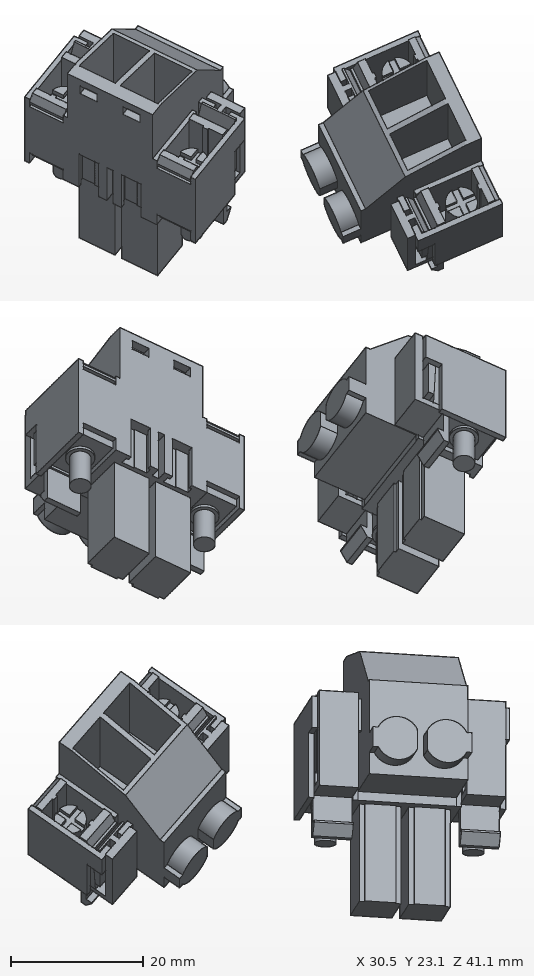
import cadquery as cq


BODY_HALF_WIDTH = 7.6
POLE_X = BODY_HALF_WIDTH / 2
FLANGE_HALF_WIDTH = 15.245
BODY_TOP = 41.15
BODY_BOTTOM = 15.47
BODY_BACK = 20.12
BODY_BACK_BOTTOM = 16.87
ROOF_FLAT_BACK = 2.6
ROOF_KINK = (12.7, 38.72)
ROOF_LEDGE_FRONT = 19.35
ROOF_LEDGE = 31.85
FLANGE_TOP = 30.7
FLANGE_BACK = 14.1

OUTER_WALL = 0.85
INNER_WALL = 0.75
FRONT_WALL = 0.85
BACK_WALL = 1.03
OUTER_WALL_LOWER_BACK = 11.28
INNER_WALL_BACK = 11.3
BACK_WALL_BOTTOM = 25.68
FRONT_WALL_BOTTOM = 17.85
FRONT_WALL_TOP = 28.93
FLANGE_CAVITY_INNER = BODY_HALF_WIDTH + INNER_WALL
FLANGE_CAVITY_OUTER = FLANGE_HALF_WIDTH - OUTER_WALL
FLANGE_X = 3 * POLE_X
INSERT_SPAN = (-FLANGE_CAVITY_OUTER, -FLANGE_CAVITY_INNER)
BACK_WALL_FRONT = FLANGE_BACK - BACK_WALL

WELL_FRONT = 2.25
WELL_BACK = 11.97
WELL_FLOOR = 24.7
WELL_INNER = 0.45
LEFT_WELL_OUTER = 6.87
RIGHT_WELL_OUTER = 7.15
TEST_POCKET_WIDTH = 3.05
TEST_POCKET_BOTTOM = 37.85
TEST_POCKET_TOP = 39.63
TEST_POCKET_DEPTH = 1.3

BOSS_RADIUS = 3.4
BOSS_Z = 21.85
BOSS_END = 23.1
BOSS_TAB_HEIGHT = 3.13
BOSS_INNER = 0.8

PLUG_WIDTH = 6.4
PLUG_FRONT = 2.4
PLUG_BACK = 9.45
PLUG_RIB = 0.35
PLUG_RIB_WIDTH = 4.77
SLOT_TOP = 23.3
SLOT_WIDTH = 3.55
SLOT_LIP = 0.7
UNDERCUT_WIDTH = 4.4
UNDERCUT_BACK = 1.6
UNDERCUT_DEEP_BACK = 1.75
CENTRE_SLOT_WIDTH = 1.15

INSERT_TOP = 31.25
LEVER_BACK = 15.47
LEVER_BOTTOM = 16.1
LEVER_TOP_FRONT = 12.75
LEVER_FLOOR = 17.25
LEVER_FOOT = 19.15
NECK_WIDTH = 0.85
NECK_SLOT_WIDTH = 2.67
CAGE_BOTTOM = 16.45
FRONT_PLATE_BACK = 2.0
LIP_BOTTOM = 29.55
LIP_CHAMFER_BOTTOM = 30.05
LEG_FRONT = 9.18
LEG_STEP = 15.95
LEG_TOP_BACK = 10.5
LEG_CHAMFER_BACK = 11.28
CAGE_FLOOR = 17.25
LEG_SHOULDER = 29.55
LEG_BACK_TOP = (11.7, LEG_SHOULDER)
LEG_BACK_BOTTOM = (12.22, LEVER_FLOOR)
WEDGE_NOSE = 28.8
LATCH_FRONT = 9.45
LATCH_BACK = 10.45
LATCH_BOTTOM = 9.65
HOOK_TOP = 11.8
HOOK_TIP = 11.5
HOOK_TIP_BOTTOM = 11.52
HOOK_BOTTOM_BACK = 10.35
GUIDE_RIB_WIDTH = 0.85
GUIDE_RIB_HEIGHT = 0.3

SCREW_Y = 5.1
SCREW_TOP = 27.5
SCREW_HEAD_RADIUS = 2.43
COLLAR_RADIUS = 2.22
COLLAR_BOTTOM = 15.95
SHANK_RADIUS = 1.65
SHANK_BOTTOM = 10.3
DRIVE_SLOT_ALONG_X = 1.03
DRIVE_SLOT_ALONG_Y = 0.85
DRIVE_DEPTH = 0.82


def block(x, y, z):
    """Box between the (low, high) limits on each axis."""
    size = [high - low for low, high in (x, y, z)]
    return cq.Workplane("XY").box(*size, centered=False).translate((x[0], y[0], z[0]))


def centred(middle, width):
    return (middle - width / 2, middle + width / 2)


def side_extrusion(points, x):
    """Solid with a (Y, Z) outline that spans the limits x."""
    return cq.Workplane("YZ").polyline(points).close().extrude(x[1] - x[0]).translate((x[0], 0, 0))


def mirrored(body, side):
    """The body itself for the left side (-1), its mirror image for the right side (+1)."""
    return body if side < 0 else body.mirror("YZ")


def cylinder(radius, bottom, top):
    """Upright cylinder on the axis of the left flange screw."""
    base = cq.Workplane("XY", origin=(-FLANGE_X, SCREW_Y, bottom))
    return base.circle(radius).extrude(top - bottom)


def make_body():
    outline = [
        (0, BODY_BOTTOM),
        (0, BODY_TOP),
        (ROOF_FLAT_BACK, BODY_TOP),
        ROOF_KINK,
        (ROOF_LEDGE_FRONT, ROOF_LEDGE),
        (BODY_BACK, ROOF_LEDGE),
        (BODY_BACK, BODY_BACK_BOTTOM),
        (OUTER_WALL_LOWER_BACK, BODY_BACK_BOTTOM),
        (OUTER_WALL_LOWER_BACK, BODY_BOTTOM),
    ]
    return side_extrusion(outline, (-BODY_HALF_WIDTH, BODY_HALF_WIDTH))


def make_left_flange():
    outer_outline = [
        (0, BODY_BOTTOM),
        (0, FLANGE_TOP),
        (FLANGE_BACK, FLANGE_TOP),
        (FLANGE_BACK, BACK_WALL_BOTTOM),
        (OUTER_WALL_LOWER_BACK, BACK_WALL_BOTTOM),
        (OUTER_WALL_LOWER_BACK, BODY_BOTTOM),
    ]
    outer_wall = side_extrusion(outer_outline, (-FLANGE_HALF_WIDTH, -FLANGE_CAVITY_OUTER))
    inner_wall = block(
        (-FLANGE_CAVITY_INNER, -BODY_HALF_WIDTH), (0, INNER_WALL_BACK), (BODY_BOTTOM, FLANGE_TOP)
    )
    span = (-FLANGE_HALF_WIDTH, -BODY_HALF_WIDTH)
    front_wall = block(span, (0, FRONT_WALL), (FRONT_WALL_BOTTOM, FRONT_WALL_TOP))
    back_y = (BACK_WALL_FRONT, FLANGE_BACK)
    back_wall = block(span, back_y, (BACK_WALL_BOTTOM, FLANGE_TOP))
    neck_slot = block(centred(-FLANGE_X, NECK_SLOT_WIDTH), back_y, (BACK_WALL_BOTTOM, FLANGE_TOP))
    return outer_wall.union(inner_wall).union(front_wall).union(back_wall.cut(neck_slot))


def make_left_boss():
    length = BOSS_END - BODY_BACK
    disc = (
        cq.Workplane("XZ", origin=(-POLE_X, BODY_BACK, BOSS_Z)).circle(BOSS_RADIUS).extrude(-length)
    )
    boss_z = centred(BOSS_Z, 2 * BOSS_RADIUS)
    boss_y = (BODY_BACK, BOSS_END)
    trimmed = disc.intersect(block((-BODY_HALF_WIDTH, -BOSS_INNER), boss_y, boss_z))
    tab = block((-BODY_HALF_WIDTH, -POLE_X), boss_y, centred(BOSS_Z, BOSS_TAB_HEIGHT))
    return trimmed.union(tab)


def make_plug(pole):
    shaft = block(centred(pole, PLUG_WIDTH), (PLUG_FRONT, PLUG_BACK), (0, BODY_BOTTOM))
    rib_y = (PLUG_BACK, PLUG_BACK + PLUG_RIB)
    return shaft.union(block(centred(pole, PLUG_RIB_WIDTH), rib_y, (0, BODY_BOTTOM)))


def coding_slot(pole):
    """T-shaped slot that is open at the front and at the bottom."""
    height = (BODY_BOTTOM, SLOT_TOP)
    opening = block(centred(pole, SLOT_WIDTH), (0, SLOT_LIP), height)
    undercut = block(centred(pole, UNDERCUT_WIDTH), (SLOT_LIP, UNDERCUT_BACK), height)
    deep_half = block((pole - UNDERCUT_WIDTH / 2, pole), (SLOT_LIP, UNDERCUT_DEEP_BACK), height)
    return opening.union(undercut).union(deep_half)


def make_housing():
    housing = make_body()
    for side in (-1, 1):
        housing = housing.union(mirrored(make_left_flange(), side))
        housing = housing.union(mirrored(make_left_boss(), side))
    wells = ((-LEFT_WELL_OUTER, -WELL_INNER), (WELL_INNER, RIGHT_WELL_OUTER))
    for well_x in wells:
        housing = housing.cut(block(well_x, (WELL_FRONT, WELL_BACK), (WELL_FLOOR, BODY_TOP)))
    for pole in (-POLE_X, POLE_X):
        test_pocket = block(
            centred(pole, TEST_POCKET_WIDTH),
            (0, TEST_POCKET_DEPTH),
            (TEST_POCKET_BOTTOM, TEST_POCKET_TOP),
        )
        housing = housing.union(make_plug(pole)).cut(test_pocket).cut(coding_slot(pole))
    centre_slot = block(centred(0, CENTRE_SLOT_WIDTH), (0, UNDERCUT_BACK), (BODY_BOTTOM, SLOT_TOP))
    return housing.cut(centre_slot)


def make_left_cage():
    front_plate = [
        (FRONT_WALL, CAGE_BOTTOM),
        (FRONT_WALL, LIP_BOTTOM),
        (0, LIP_BOTTOM),
        (0, LIP_CHAMFER_BOTTOM),
        (FRONT_WALL, INSERT_TOP),
        (FRONT_PLATE_BACK, INSERT_TOP),
        (FRONT_PLATE_BACK, CAGE_BOTTOM),
    ]
    latch_leg = [
        (LEG_FRONT, INSERT_TOP),
        (LEG_TOP_BACK, INSERT_TOP),
        (LEG_CHAMFER_BACK, LEG_SHOULDER),
        LEG_BACK_TOP,
        LEG_BACK_BOTTOM,
        (LATCH_BACK, LEVER_FLOOR),
        (LATCH_BACK, HOOK_TOP),
        (HOOK_TIP, HOOK_TOP),
        (HOOK_TIP, HOOK_TIP_BOTTOM),
        (HOOK_BOTTOM_BACK, LATCH_BOTTOM),
        (LATCH_FRONT, LATCH_BOTTOM),
        (LATCH_FRONT, LEG_STEP),
        (LEG_FRONT, LEG_STEP),
    ]
    floor = block(INSERT_SPAN, (FRONT_WALL, LATCH_FRONT), (CAGE_BOTTOM, CAGE_FLOOR))
    cage = side_extrusion(front_plate, INSERT_SPAN)
    cage = cage.union(side_extrusion(latch_leg, INSERT_SPAN)).union(floor)

    rib_x = centred(-FLANGE_X, GUIDE_RIB_WIDTH)
    for rib_y in (
        (FRONT_PLATE_BACK, FRONT_PLATE_BACK + GUIDE_RIB_HEIGHT),
        (LEG_FRONT - GUIDE_RIB_HEIGHT, LEG_FRONT),
    ):
        cage = cage.union(block(rib_x, rib_y, (CAGE_FLOOR, INSERT_TOP)))

    return cage.cut(cylinder(COLLAR_RADIUS, CAGE_BOTTOM, CAGE_FLOOR))


def leg_back(z):
    """Y of the sloping back of the latch leg at height z."""
    top_y, top_z = LEG_BACK_TOP
    bottom_y, bottom_z = LEG_BACK_BOTTOM
    return top_y + (bottom_y - top_y) * (top_z - z) / (top_z - bottom_z)


def make_left_lever():
    wedge_outline = [
        (BACK_WALL_FRONT, INSERT_TOP),
        (LEVER_TOP_FRONT, INSERT_TOP),
        (leg_back(WEDGE_NOSE), WEDGE_NOSE),
        (leg_back(LEVER_FOOT), LEVER_FOOT),
        (BACK_WALL_FRONT, LEVER_FOOT),
    ]
    wedge = side_extrusion(wedge_outline, INSERT_SPAN)
    neck_y = (BACK_WALL_FRONT, FLANGE_BACK)
    neck = block(centred(-FLANGE_X, NECK_WIDTH), neck_y, (BACK_WALL_BOTTOM, INSERT_TOP))
    push_plate = block(INSERT_SPAN, (FLANGE_BACK, LEVER_BACK), (LEVER_BOTTOM, INSERT_TOP))
    floor = block(INSERT_SPAN, (LATCH_BACK, LEVER_BACK), (LEVER_BOTTOM, LEVER_FLOOR))
    return wedge.union(neck).union(push_plate).union(floor)


def make_left_screw():
    screw = cylinder(SCREW_HEAD_RADIUS, CAGE_FLOOR, SCREW_TOP)
    screw = screw.union(cylinder(COLLAR_RADIUS, COLLAR_BOTTOM, CAGE_FLOOR))
    screw = screw.union(cylinder(SHANK_RADIUS, SHANK_BOTTOM, COLLAR_BOTTOM))
    drive_z = (SCREW_TOP - DRIVE_DEPTH, SCREW_TOP)
    full_x = centred(-FLANGE_X, 2 * SCREW_HEAD_RADIUS)
    full_y = centred(SCREW_Y, 2 * SCREW_HEAD_RADIUS)
    screw = screw.cut(block(full_x, centred(SCREW_Y, DRIVE_SLOT_ALONG_X), drive_z))
    return screw.cut(block(centred(-FLANGE_X, DRIVE_SLOT_ALONG_Y), full_y, drive_z))


housing = make_housing()
cages = [mirrored(make_left_cage(), side) for side in (-1, 1)]
levers = [mirrored(make_left_lever(), side) for side in (-1, 1)]
screws = [mirrored(make_left_screw(), side) for side in (-1, 1)]

bodies = [housing, *cages, *levers, *screws]
result = cq.Compound.makeCompound([body.solids().val() for body in bodies])